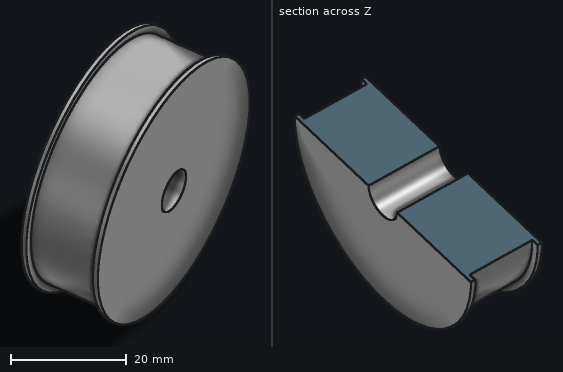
import cadquery as cq

flange_diameter = 50.0
rim_diameter = 47.0
bore_diameter = 8.0
total_width = 15.5
flange_thickness = 1.0


def disc(diameter, start_x, width):
    """Solid disc about the X axis, from start_x towards +X."""
    return cq.Workplane("YZ").workplane(offset=start_x).circle(diameter / 2).extrude(width)


left_face = -total_width / 2
right_flange_start = total_width / 2 - flange_thickness

roller = disc(rim_diameter, left_face, total_width)
for flange_start in (left_face, right_flange_start):
    roller = roller.union(disc(flange_diameter, flange_start, flange_thickness))

result = roller.cut(disc(bore_diameter, left_face, total_width))